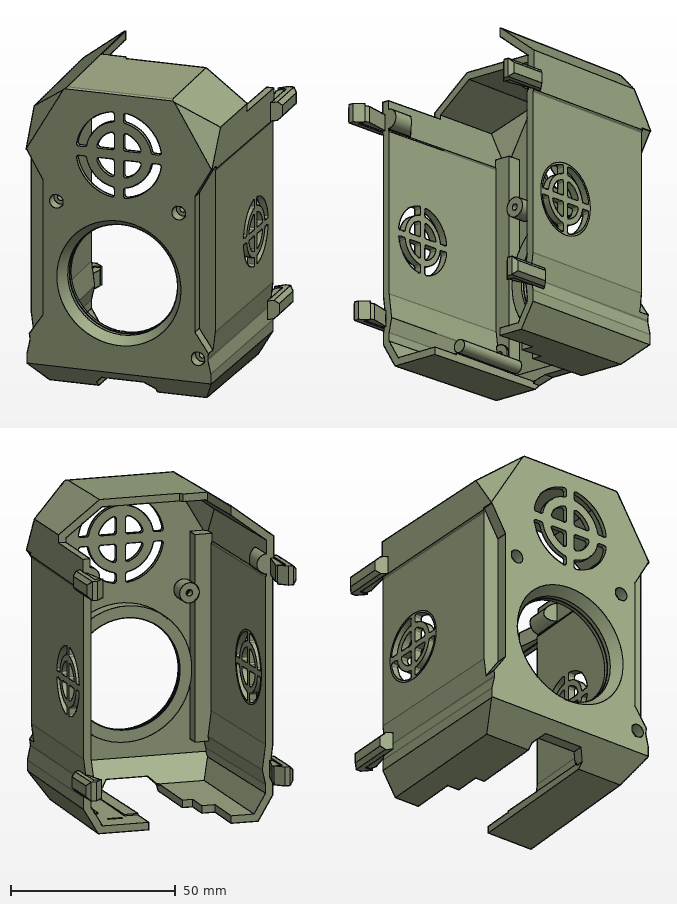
import cadquery as cq
import math

HEIGHT = 98.85
DEPTH = 54.5
DRAFT = 0.85
HALF_WIDTH = 30.7
TOP_HALF = 17.3
TOP_SLOPE_Z = 88.7
FOOT_HALF = 25.7
FOOT_SLOPE_Z = 7.9
PANEL_STEP = 0.3
PANEL_TOP_Z = 76.0
DIMPLE_DEPTH = 1.0
DIMPLE_TOP_Z = 23.6
DIMPLE_Z = 16.0
DIMPLE_BOTTOM_Z = 11.6
WALL = 2.4
FRONT_WALL = 1.5
CLEARANCE = 1.0

TOP_BEVEL_DROP = 0.3
TOP_BEVEL_RUN = 1.1
FRONT_CORNER = ((18.4, 0, 96.6), (29.9, 0, 77.1), (30.2, 7.8, 88.2))
CHIN_RISE = 8.3
CHIN_RUN = 9.3
RECESS_DEPTH = 4.0
RECESS_HALF = 24.5
RECESS_FLAT_Z = (24.3, 67.8)
RECESS_END_Z = (16.8, 76.8)
RECESS_END_HALF = 29.7

LENS_Z = 37.3
LENS_D = 35.0
LENS_RIM_D = 40.0
LENS_SEAT_D = 35.4
LENS_RIM_DEPTH = 3.4
LENS_SEAT_DEPTH = 4.7
LENS_COLLAR_D = 42.5
LENS_COLLAR_END_Y = 5.9
FRONT_VENT_Z = 78.4
SIDE_VENT_Y = 39.3
SIDE_VENT_Z = 44.7
GRILLE_D = 23.0
FRONT_VENT = dict(outer=13.8, inner=10.6, core=7.5, spoke=3.0, corner=0.8)
SIDE_VENT = dict(outer=10.9, inner=8.0, core=6.1, spoke=2.0, corner=0.6)

SCREW_POINTS = [(-20.2, 61.3), (19.3, 62.0), (25.5, 15.9)]
SCREW_HEAD_D = 4.3
SCREW_HEAD_DEPTH = 4.0
SCREW_D = 2.0
BOSS_D = 6.3
BOSS_END_Y = 6.9

POST_D = 4.2
POST_X = 23.3
POST_Z = 12.85
POST_END_Y = 27.7

TOP_CUT_X = -17.0
TOP_CUT_Y = 31.0
TOP_LIP_X = -8.5
TOP_LIP = 1.4
TOP_CUT_Z = 86.0
NOTCH_HALF = 9.5
NOTCH_HEIGHT = 5.1
NOTCH_CHAMFER = 2.8
FLOOR_CUT_Y = 39.5
FLOOR_TAB_X = -12.8

FLOOR_STEP_X = (NOTCH_HALF, 13.8)
FLOOR_STEP_END_Y = 44.5
FLOOR_RIB_X = (20.7, 21.7)
FLOOR_RIB_END_Y = 39.5
FLOOR_RIDGE = 0.6
FLOOR_GROOVE_X = (15.2, 19.8)
FLOOR_GROOVE_Y = (45.7, 46.7)
FLOOR_GROOVE_DEPTH = 0.6

CLIP_BOSS_X = 28.5
CLIP_BOSS_Z = 80.1
CLIP_BOSS_START_Y = 44.3
CLIP_LENGTH = 16.4
CLIP_HEIGHT = 5.9
CLIP_TOP_END_Y = 68.0
CLIP_LOW_END_Y = 65.9
CLIP_TOP_Z = 79.2
CLIP_LOW_Z = 16.1
CLIP_SPAN = 67.3
CLIP_TOP_X = CLIP_SPAN / 2
CLIP_LOW_X = 33.3
CLIP_BAR = 3.0
CLIP_BEVEL = 1.3
CLIP_RAMP = 2.5
BARB_REACH = 5.5
BARB_DROP = 2.6
PRONG_HEIGHT = 5.1
PRONG_STEP = 0.6
PRONG_TIP_DROP = 2.0
PRONG_BASE = 1.0


def block(x_range, y_range, z_range):
    sizes = [high - low for low, high in (x_range, y_range, z_range)]
    corner = (x_range[0], y_range[0], z_range[0])
    return cq.Workplane("XY").box(*sizes, centered=False).translate(corner)


def rod(x, z, diameter, y_start, y_end):
    return (
        cq.Workplane("XZ", origin=(x, y_start, z))
        .circle(diameter / 2)
        .extrude(y_start - y_end)
    )


def both_sides(right_shape):
    return right_shape.union(right_shape.mirror("YZ"))


def mirrored_outline(right_points, y):
    left_points = [(-x, z) for x, z in reversed(right_points)]
    return cq.Workplane("XZ", origin=(0, y, 0)).polyline(right_points + left_points).close()


def shell_outline():
    panel_half = HALF_WIDTH - PANEL_STEP
    right_points = [
        (TOP_HALF, HEIGHT),
        (HALF_WIDTH, TOP_SLOPE_Z),
        (HALF_WIDTH, PANEL_TOP_Z),
        (panel_half, PANEL_TOP_Z - 2 * PANEL_STEP),
        (panel_half, DIMPLE_TOP_Z),
        (panel_half - DIMPLE_DEPTH, DIMPLE_Z),
        (panel_half, DIMPLE_BOTTOM_Z),
        (panel_half, FOOT_SLOPE_Z),
        (FOOT_HALF, 0),
    ]
    return mirrored_outline(right_points, DEPTH)


def outer_shape():
    return shell_outline().extrude(DEPTH, taper=DRAFT)


def cavity():
    inside = shell_outline().offset2D(-WALL, "intersection")
    space = inside.extrude(DEPTH - FRONT_WALL, taper=DRAFT)
    return space.cut(front_corner_cutter(WALL)).cut(chin_cutter(WALL))


def recess_backing():
    """Thicker stretch inside the shell that closes it behind each side recess."""
    x_range = (RECESS_HALF - WALL, HALF_WIDTH)
    z_range = (RECESS_END_Z[0] - WALL, RECESS_END_Z[1] + WALL)
    return both_sides(block(x_range, (FRONT_WALL / 2, RECESS_DEPTH + WALL), z_range))


def clip_bosses():
    """Round stiffeners inside the side walls beside the upper clips, with a slanted front end."""
    boss = rod(CLIP_BOSS_X, CLIP_BOSS_Z, BOSS_D, CLIP_BOSS_START_Y, DEPTH)
    slant = (
        cq.Workplane("XY")
        .polyline([
            (CLIP_BOSS_X, CLIP_BOSS_START_Y),
            (CLIP_BOSS_X - BOSS_D, CLIP_BOSS_START_Y),
            (CLIP_BOSS_X - BOSS_D, CLIP_BOSS_START_Y + BOSS_D),
        ])
        .close()
        .extrude(HEIGHT)
    )
    return both_sides(boss.cut(slant))


def front_corner_cutter(inset=0.0):
    """Wedges beyond the planes that slice off the front top corners, moved inwards by the inset."""
    first, second, third = [cq.Vector(*point) for point in FRONT_CORNER]
    normal = (third - first).cross(second - first).normalized()
    if normal.x < 0:
        normal = -normal
    origin = first - normal * inset
    plane = cq.Plane(origin=origin.toTuple(), normal=normal.toTuple())
    return both_sides(cq.Workplane(plane).rect(HEIGHT, HEIGHT).extrude(HEIGHT / 4))


def chin_cutter(inset=0.0):
    """Wedge below the sloping front bottom edge, moved inwards by the inset."""
    distance_to_corner = CHIN_RUN * CHIN_RISE / math.hypot(CHIN_RUN, CHIN_RISE)
    growth = 1 + inset / distance_to_corner
    return (
        cq.Workplane("YZ", origin=(-HALF_WIDTH, 0, 0))
        .polyline([(0, 0), (CHIN_RUN * growth, 0), (0, CHIN_RISE * growth)])
        .close()
        .extrude(2 * HALF_WIDTH)
    )


def top_bevel_cutter():
    slope = math.tan(math.radians(DRAFT))
    front_top = HEIGHT - DEPTH * slope
    bevel_top = front_top + TOP_BEVEL_RUN * slope
    return (
        cq.Workplane("YZ", origin=(-HALF_WIDTH, 0, 0))
        .polyline([(0, front_top - TOP_BEVEL_DROP), (TOP_BEVEL_RUN, bevel_top), (0, HEIGHT)])
        .close()
        .extrude(2 * HALF_WIDTH)
    )


def side_recess_cutter():
    outside = HALF_WIDTH + CLEARANCE
    points = [
        (outside, RECESS_END_Z[0]),
        (RECESS_END_HALF, RECESS_END_Z[0]),
        (RECESS_HALF, RECESS_FLAT_Z[0]),
        (RECESS_HALF, RECESS_FLAT_Z[1]),
        (RECESS_END_HALF, RECESS_END_Z[1]),
        (outside, RECESS_END_Z[1]),
    ]
    return both_sides(cq.Workplane("XZ").polyline(points).close().extrude(-RECESS_DEPTH))


def vent_cutter(plane, length, outer, inner, core, spoke, corner):
    """Four arc slots around four quarter openings, parted by a cross of spokes."""
    slots = plane.circle(outer).circle(inner).extrude(length)
    slots = slots.union(plane.circle(core).extrude(length))
    spoke_length = 2 * (outer + CLEARANCE)
    for size in ((spoke_length, spoke), (spoke, spoke_length)):
        slots = slots.cut(plane.rect(*size).extrude(length))
    long_edges = cq.selectors.ParallelDirSelector(plane.plane.zDir)
    return slots.edges(long_edges).fillet(corner)


def side_vent_cutter():
    plane = cq.Workplane("YZ", origin=(-HALF_WIDTH - CLEARANCE, SIDE_VENT_Y, SIDE_VENT_Z))
    return vent_cutter(plane, 2 * (HALF_WIDTH + CLEARANCE), **SIDE_VENT)


def grille_disc():
    plane = cq.Workplane("YZ", origin=(-HALF_WIDTH - CLEARANCE, SIDE_VENT_Y, SIDE_VENT_Z))
    return plane.circle(GRILLE_D / 2).extrude(HALF_WIDTH)


def lens_cutter():
    rim = cq.Solid.makeCone(
        LENS_RIM_D / 2, LENS_SEAT_D / 2, LENS_RIM_DEPTH, cq.Vector(0, 0, LENS_Z), cq.Vector(0, 1, 0)
    )
    seat = rod(0, LENS_Z, LENS_SEAT_D, 0, LENS_SEAT_DEPTH)
    bore = rod(0, LENS_Z, LENS_D, 0, LENS_COLLAR_END_Y)
    return bore.union(seat).union(cq.Workplane(rim))


def top_cutter():
    right = HALF_WIDTH + CLEARANCE
    lip_y = TOP_CUT_Y + TOP_LIP
    points = [
        (TOP_CUT_X, DEPTH),
        (TOP_CUT_X, lip_y),
        (TOP_LIP_X - TOP_LIP / 2, lip_y),
        (TOP_LIP_X, TOP_CUT_Y),
        (right, TOP_CUT_Y),
        (right, DEPTH),
    ]
    return (
        cq.Workplane("XY", origin=(0, 0, TOP_CUT_Z))
        .polyline(points)
        .close()
        .extrude(HEIGHT - TOP_CUT_Z)
    )


def floor_cutter():
    shoulder_z = NOTCH_HEIGHT - NOTCH_CHAMFER
    right_points = [
        (NOTCH_HALF - NOTCH_CHAMFER, NOTCH_HEIGHT),
        (NOTCH_HALF, shoulder_z),
        (NOTCH_HALF, 0),
    ]
    lip_notch = mirrored_outline(right_points, 0).extrude(-DEPTH)
    middle = block((-NOTCH_HALF, NOTCH_HALF), (CHIN_RUN, DEPTH), (0, NOTCH_HEIGHT))
    left_rear = block((TOP_CUT_X, 0), (FLOOR_CUT_Y, DEPTH), (0, NOTCH_HEIGHT))
    left_middle = block((FLOOR_TAB_X, 0), (TOP_CUT_Y, DEPTH), (0, NOTCH_HEIGHT))
    return lip_notch.union(middle).union(left_rear).union(left_middle)


def floor_ledges():
    z_range = (WALL / 2, WALL + FLOOR_RIDGE)
    step = block(FLOOR_STEP_X, (CHIN_RUN, FLOOR_STEP_END_Y), z_range)
    rib = block(FLOOR_RIB_X, (CHIN_RUN, FLOOR_RIB_END_Y), z_range)
    return step.union(rib)


def make_housing_blank():
    """Housing shell with every feature except the seat of the side grille."""
    body = outer_shape()
    outside = body
    body = body.cut(cavity())
    for x, z in SCREW_POINTS:
        body = body.union(rod(x, z, BOSS_D, FRONT_WALL / 2, BOSS_END_Y).intersect(outside))
    body = body.union(rod(0, LENS_Z, LENS_COLLAR_D, FRONT_WALL / 2, LENS_COLLAR_END_Y))
    body = body.union(rod(POST_X, POST_Z, POST_D, FRONT_WALL / 2, POST_END_Y))
    body = body.union(recess_backing().intersect(outside))
    body = body.union(clip_bosses().intersect(outside))
    body = body.union(floor_ledges())
    body = body.cut(block(FLOOR_GROOVE_X, FLOOR_GROOVE_Y, (WALL - FLOOR_GROOVE_DEPTH, WALL)))

    body = body.cut(front_corner_cutter()).cut(top_bevel_cutter()).cut(chin_cutter())
    body = body.cut(side_recess_cutter())
    body = body.cut(lens_cutter())
    front_plane = cq.Workplane("XZ", origin=(0, 0, FRONT_VENT_Z))
    body = body.cut(vent_cutter(front_plane, -FRONT_WALL, **FRONT_VENT))
    for x, z in SCREW_POINTS:
        body = body.cut(rod(x, z, SCREW_HEAD_D, 0, SCREW_HEAD_DEPTH))
        body = body.cut(rod(x, z, SCREW_D, 0, DEPTH))
    body = body.cut(top_cutter()).cut(floor_cutter())
    return body.cut(side_vent_cutter())


def make_clip(outer_x, end_y, z):
    """Right-hand clip: a bevelled bar with an inward barb and a slanting prong."""
    start_y = end_y - CLIP_LENGTH
    inner_x = outer_x - CLIP_BAR
    tip_x = outer_x - BARB_REACH
    tip_y = end_y - BARB_DROP
    bar_points = [
        (inner_x, start_y),
        (outer_x, start_y + CLIP_RAMP),
        (outer_x, end_y - CLIP_BEVEL),
        (outer_x - CLIP_BEVEL, end_y),
        (inner_x, end_y),
        (tip_x, tip_y),
        (inner_x, tip_y),
    ]
    bar = (
        cq.Workplane("XY", origin=(0, 0, z - CLIP_HEIGHT / 2))
        .polyline(bar_points)
        .close()
        .extrude(CLIP_HEIGHT)
    )
    bar = bar.edges("|Y and >X").chamfer(CLIP_BEVEL)
    prong_points = [
        (inner_x, tip_y),
        (tip_x + PRONG_STEP, tip_y),
        (tip_x, tip_y - PRONG_TIP_DROP),
        (inner_x - PRONG_BASE, DEPTH),
        (inner_x, DEPTH),
    ]
    prong = (
        cq.Workplane("XY", origin=(0, 0, z - PRONG_HEIGHT / 2))
        .polyline(prong_points)
        .close()
        .extrude(PRONG_HEIGHT)
    )
    return bar.union(prong)


blank = make_housing_blank()
housing = blank.cut(grille_disc())
grille = blank.intersect(grille_disc())

upper_clip = make_clip(CLIP_TOP_X, CLIP_TOP_END_Y, CLIP_TOP_Z).cut(housing)
lower_clip = make_clip(CLIP_LOW_X, CLIP_LOW_END_Y, CLIP_LOW_Z).cut(housing)
clips = []
for clip in (upper_clip, lower_clip):
    clips += [clip.solids().val(), clip.mirror("YZ").solids().val()]

result = cq.Compound.makeCompound([housing.solids().val(), grille.solids().val(), *clips])